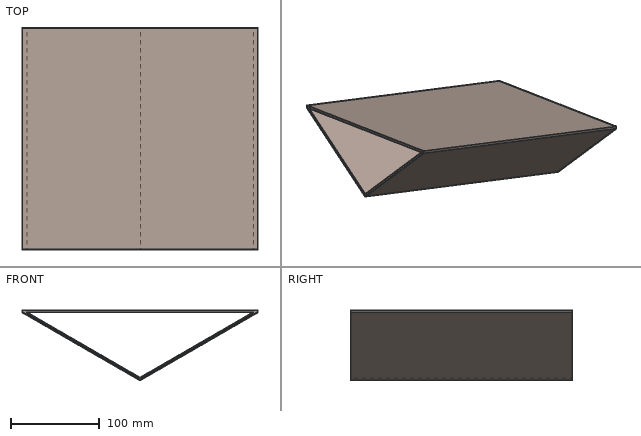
import cadquery as cq
import math

WIDTH = 265.47
LENGTH = 250.0
HEIGHT = 79.15
WALL = 2.5
SLOPE = math.radians(30.0)

half_width = WIDTH / 2
rim_height = HEIGHT - half_width * math.tan(SLOPE)
inner_apex_z = WALL / math.cos(SLOPE)
inner_top_z = HEIGHT - WALL
inner_half_width = (inner_top_z - inner_apex_z) / math.tan(SLOPE)


def y_prism(points):
    """Extrude an XZ outline symmetrically about Y = 0 over the full length."""
    return cq.Workplane("XZ").polyline(points).close().extrude(LENGTH / 2, both=True)


def outer_body():
    """Solid triangular prism, apex down, with short upright side edges."""
    return y_prism([
        (0, 0),
        (half_width, HEIGHT - rim_height),
        (half_width, HEIGHT),
        (-half_width, HEIGHT),
        (-half_width, HEIGHT - rim_height),
    ])


def inner_passage():
    """Triangular passage, open at both ends, leaving an even wall."""
    return y_prism([
        (0, inner_apex_z),
        (inner_half_width, inner_top_z),
        (-inner_half_width, inner_top_z),
    ])


result = outer_body().cut(inner_passage())